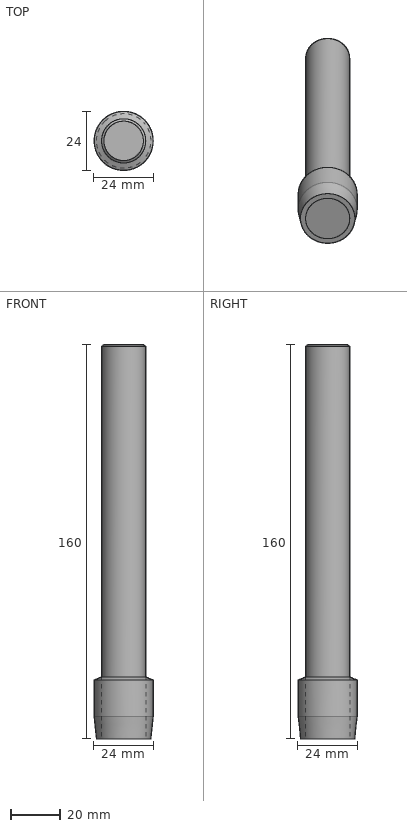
import cadquery as cq

pillar_length = 160.0
pillar_radius = 9.0
tip_inset = 1.0
tip_height = 0.8

sleeve_radius = 12.0
foot_radius = 11.0
foot_height = 9.1
shoulder_height = 24.0
shoulder_rise = 1.3


def revolve_profile(points):
    """Revolve a closed (radius, height) outline about the Z axis."""
    return cq.Workplane("XZ").polyline(points).close().revolve(360, (0, 0), (0, 1))


def make_pillar():
    """Round bar with a shallow chamfer at its upper end."""
    return revolve_profile([
        (0, 0),
        (pillar_radius, 0),
        (pillar_radius, pillar_length - tip_height),
        (pillar_radius - tip_inset, pillar_length),
        (0, pillar_length),
    ])


def make_sleeve():
    """Bored sleeve with a tapered foot and a conical shoulder that meets the pillar."""
    return revolve_profile([
        (pillar_radius, 0),
        (foot_radius, 0),
        (sleeve_radius, foot_height),
        (sleeve_radius, shoulder_height),
        (pillar_radius, shoulder_height + shoulder_rise),
    ])


pillar = make_pillar()
sleeve = make_sleeve()

result = cq.Compound.makeCompound([pillar.val(), sleeve.val()])